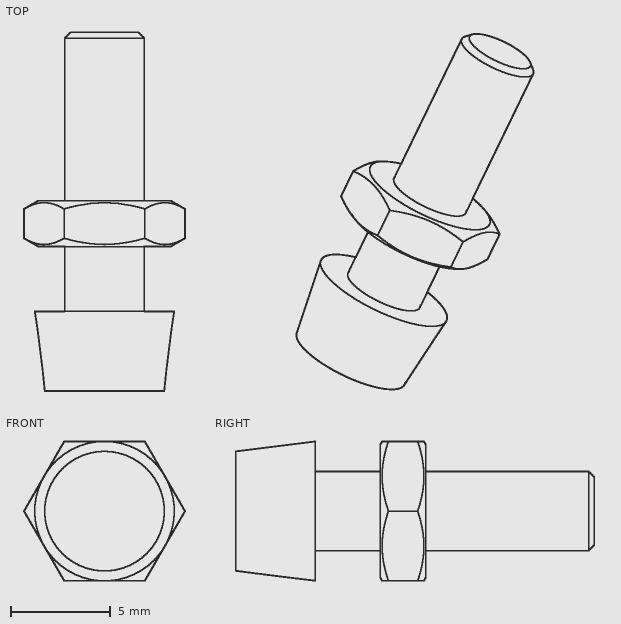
import cadquery as cq
import math

total_length = 18.0
shank_diameter = 4.0
tip_chamfer = 0.3
head_length = 4.0
head_face_diameter = 6.0
head_back_diameter = 7.0

hexagon_sides = 6
nut_width = 7.0
nut_thickness = 2.3
nut_gap = 3.25
nut_face_diameter = 6.65
nut_chamfer_angle = 30.0

head_back_y = head_length
nut_front_y = head_back_y + nut_gap
nut_corner_diameter = nut_width / math.cos(math.pi / hexagon_sides)


def revolve_about_y(profile):
    """Turn a closed (radius, y) outline into a solid of revolution about Y."""
    outline = [(y, radius) for radius, y in profile]
    return cq.Workplane("YZ").polyline(outline).close().revolve(360, (0, 0, 0), (1, 0, 0))


def make_stud():
    """Tapered head and chamfered shank, turned as one solid."""
    shank_radius = shank_diameter / 2
    return revolve_about_y([
        (0, 0),
        (head_face_diameter / 2, 0),
        (head_back_diameter / 2, head_back_y),
        (shank_radius, head_back_y),
        (shank_radius, total_length - tip_chamfer),
        (shank_radius - tip_chamfer, total_length),
        (0, total_length),
    ])


def make_nut():
    """Hexagon with corners on X, both faces chamfered, bored to fit the shank."""
    face_radius = nut_face_diameter / 2
    corner_radius = nut_corner_diameter / 2
    chamfer_depth = (corner_radius - face_radius) * math.tan(math.radians(nut_chamfer_angle))
    hexagon = (
        cq.Workplane("XZ")
        .polygon(hexagon_sides, nut_corner_diameter)
        .circle(shank_diameter / 2)
        .extrude(-nut_thickness)
    )
    chamfer_envelope = revolve_about_y([
        (0, 0),
        (face_radius, 0),
        (corner_radius, chamfer_depth),
        (corner_radius, nut_thickness - chamfer_depth),
        (face_radius, nut_thickness),
        (0, nut_thickness),
    ])
    return hexagon.intersect(chamfer_envelope).translate((0, nut_front_y, 0))


stud = make_stud()
nut = make_nut()

result = cq.Compound.makeCompound([stud.val(), *nut.solids().vals()])